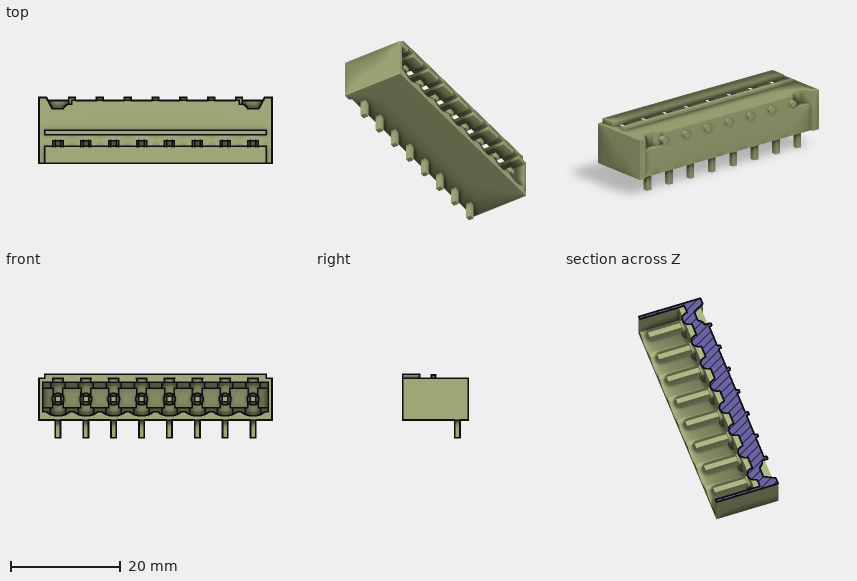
import cadquery as cq

POLES = 8
PITCH = 5.08

LENGTH = 42.54
EAR_BACK = 12.0
BACK = 11.47
HEIGHT = 7.65
END_WALL = 0.68
ROOF = 0.77

LIP_INSET = 1.06
LIP_HEIGHT = 0.76
LIP_DEPTH = 3.09
RIB_FRONT = 5.24
RIB_WIDTH = 0.8
RIB_HEIGHT = 0.62
SLOT_WIDTH = 1.83
SLOT_DEPTH = 4.15

CAVITY_DEPTH = 8.6
CREST_Z = 1.5
SCALLOP_Z = 0.77
SCALLOP_RADIUS = 3.5
BLOCK_THICKNESS = 1.05
BLOCK_BOTTOM = 2.3
BLOCK_TOP = 5.77
POST_BOTTOM_RADIUS = 1.43
POST_TOP_RADIUS = 1.35
COLLAR_RADIUS = 1.06
COLLAR_LENGTH = 0.2

PIN_SIZE = 1.0
PIN_TIP_Y = 0.77
PIN_Y = 9.97
PIN_LENGTH_BELOW = 3.22

NOTCH_DEPTH = 2.5
EAR_WIDTH = 1.38
NOTCH_Y = 9.95
NOTCH_FLAT_START = 2.45
NOTCH_FLAT_END = 4.45
NOTCH_SHELF_Y = 10.8
NOTCH_ARC_RISE = 0.15
BOSS_RADIUS = 0.62
BOSS_LENGTH = 1.3
BOSS_DROP = 1.37

PIN_AXIS_Z = HEIGHT / 2
CEILING = HEIGHT - ROOF
HALF = LENGTH / 2
EDGE_OVERLAP = 1.0
ROW_HALF = PITCH * (POLES - 1) / 2
PIN_XS = [i * PITCH - ROW_HALF for i in range(POLES)]
BOSS_XS = [x + PITCH / 2 for x in PIN_XS[:-1]]


def centred_block(x, width, y_min, y_max, z_min, z_max):
    """Box centred on x and given by its limits along Y and Z."""
    box = cq.Workplane("XY").box(width, y_max - y_min, z_max - z_min, centered=False)
    return box.translate((x - width / 2, y_min, z_min))


def y_cylinder(x, z, radius, y_min, y_max):
    """Cylinder along Y."""
    profile = cq.Workplane("XZ").center(x, z).circle(radius)
    return profile.extrude(-(y_max - y_min)).translate((0, y_min, 0))


def make_shell():
    """Housing body with end ears, lip and rib, still without the cavity."""
    ear_slope = (NOTCH_FLAT_START - EAR_WIDTH) / (EAR_BACK - NOTCH_Y)
    ear_root = EAR_WIDTH + ear_slope * (EAR_BACK - BACK)
    outline = [
        (-HALF, 0),
        (HALF, 0),
        (HALF, EAR_BACK),
        (HALF - EAR_WIDTH, EAR_BACK),
        (HALF - ear_root, BACK),
        (ear_root - HALF, BACK),
        (EAR_WIDTH - HALF, EAR_BACK),
        (-HALF, EAR_BACK),
    ]
    shell = cq.Workplane("XY").polyline(outline).close().extrude(HEIGHT)
    raised_width = LENGTH - 2 * LIP_INSET
    lip = centred_block(0, raised_width, 0, LIP_DEPTH, CEILING, HEIGHT + LIP_HEIGHT)
    rib = centred_block(
        0, raised_width, RIB_FRONT, RIB_FRONT + RIB_WIDTH, CEILING, HEIGHT + RIB_HEIGHT
    )
    return shell.union(lip).union(rib)


def make_cavity():
    """Cutter for the mating cavity: scalloped floor and one roof slot per pin."""
    cavity = centred_block(0, LENGTH - 2 * END_WALL, 0, CAVITY_DEPTH, CREST_Z, CEILING)
    for x in PIN_XS:
        scallop = y_cylinder(x, SCALLOP_Z + SCALLOP_RADIUS, SCALLOP_RADIUS, 0, CAVITY_DEPTH)
        floor_zone = centred_block(x, PITCH, 0, CAVITY_DEPTH, 0, PIN_AXIS_Z)
        slot = centred_block(x, SLOT_WIDTH, 0, SLOT_DEPTH, PIN_AXIS_Z, HEIGHT)
        cavity = cavity.union(scallop.intersect(floor_zone)).union(slot)
    return cavity


def make_rear_wall_details():
    """Raised band on the cavity's rear wall, with a tapered post and collar per pin."""
    block_front = CAVITY_DEPTH - BLOCK_THICKNESS
    band_width = LENGTH - 2 * END_WALL
    details = centred_block(0, band_width, block_front, CAVITY_DEPTH, BLOCK_BOTTOM, BLOCK_TOP)
    post_base = SCALLOP_Z / 2
    collar_front = CAVITY_DEPTH - POST_BOTTOM_RADIUS - COLLAR_LENGTH
    for x in PIN_XS:
        post = (
            cq.Workplane("XY", origin=(x, CAVITY_DEPTH, post_base))
            .circle(POST_BOTTOM_RADIUS)
            .workplane(offset=CEILING - post_base)
            .circle(POST_TOP_RADIUS)
            .loft()
        )
        front_half = centred_block(x, PITCH, 0, CAVITY_DEPTH, 0, CEILING)
        collar = y_cylinder(x, PIN_AXIS_Z, COLLAR_RADIUS, collar_front, CAVITY_DEPTH)
        details = details.union(post.intersect(front_half)).union(collar)
    return details


def make_pin(x):
    """Square pin bent down at a right angle."""
    half = PIN_SIZE / 2
    contact = centred_block(x, PIN_SIZE, PIN_TIP_Y, PIN_Y + half, PIN_AXIS_Z - half, PIN_AXIS_Z + half)
    leg = centred_block(x, PIN_SIZE, PIN_Y - half, PIN_Y + half, -PIN_LENGTH_BELOW, PIN_AXIS_Z)
    return contact.union(leg)


def make_left_notch():
    """Cutter for the notch beside the left ear, rounded on its inner side."""
    boss_x = BOSS_XS[0]
    return (
        cq.Workplane("XY", origin=(0, 0, HEIGHT - NOTCH_DEPTH))
        .moveTo(EAR_WIDTH - HALF, EAR_BACK)
        .lineTo(NOTCH_FLAT_START - HALF, NOTCH_Y)
        .lineTo(NOTCH_FLAT_END - HALF, NOTCH_Y)
        .sagittaArc((boss_x - BOSS_RADIUS, NOTCH_SHELF_Y), NOTCH_ARC_RISE)
        .lineTo(boss_x, NOTCH_SHELF_Y)
        .lineTo(boss_x, EAR_BACK)
        .close()
        .extrude(NOTCH_DEPTH + EDGE_OVERLAP)
    )


result = make_shell().cut(make_cavity()).union(make_rear_wall_details())
left_notch = make_left_notch()
result = result.cut(left_notch).cut(left_notch.mirror("YZ"))
for boss_x in BOSS_XS:
    boss = y_cylinder(boss_x, HEIGHT - BOSS_DROP, BOSS_RADIUS, EAR_BACK - BOSS_LENGTH, EAR_BACK)
    result = result.union(boss)
for pin_x in PIN_XS:
    result = result.union(make_pin(pin_x))